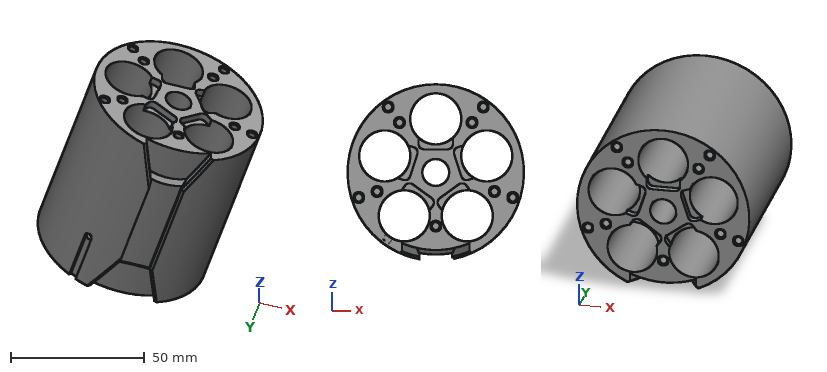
import cadquery as cq
import math

LENGTH = 72.0
BODY_RADIUS = 33.0
FRONT_Y = -LENGTH / 2
BACK_Y = LENGTH / 2

BORE_COUNT = 5
BORE_STEP = 360 / BORE_COUNT
BORE_CIRCLE_RADIUS = 20.0
BORE_RADIUS = 9.5
CENTER_BORE_RADIUS = 5.0

POCKET_WIDTH = 12.8
POCKET_FLAT_RADIUS = 8.65
POCKET_CORNER_RADIUS = 2.0
POCKET_DEPTH = 3.0

INNER_SCREW_RADIUS = 23.05
OUTER_SCREW_RADIUS = 30.25
LOWEST_SCREW_RADIUS = 20.0
SCREW_DIAMETER = 3.0
SCREW_MOUTH_DIAMETER = 4.0
SCREW_DEPTH = 7.2
COUNTERSINK_ANGLE = 90

NOTCH_ANGLE = 270
NOTCH_END_WIDTH = 25.2
NOTCH_WAIST_WIDTH = 11.95
NOTCH_TAPER_LENGTH = 15.85
NOTCH_FLOOR_AXIS_Z = 4.0
NOTCH_RIDGE_HEIGHT = 1.7
NOTCH_RAMP_LENGTH = 1.9
NOTCH_CHAMFER = 1.0

GROOVE_ANGLE = 90 + 2 * BORE_STEP
GROOVE_WIDTH = 3.0
GROOVE_DEPTH = 1.2
GROOVE_LENGTH = 20.0


def polar(radius, degrees):
    """Point in the XZ plane at an angle measured from +X towards +Z."""
    angle = math.radians(degrees)
    return radius * math.cos(angle), radius * math.sin(angle)


def rod(radius, y_start, y_end):
    """Solid cylinder along the Y axis."""
    start = cq.Vector(0, y_start, 0)
    direction = cq.Vector(0, 1, 0)
    return cq.Workplane(obj=cq.Solid.makeCylinder(radius, y_end - y_start, start, direction))


def turn(shape, degrees):
    """Rotate about the Y axis, from +X towards +Z."""
    return shape.rotate((0, 0, 0), (0, 1, 0), -degrees)


def front_face():
    """Sketch plane on the front face, with local x and y along X and Z, and its normal pointing out."""
    return cq.Workplane(cq.Plane(origin=(0, FRONT_Y, 0), xDir=(1, 0, 0), normal=(0, -1, 0)))


def notch_cutter():
    """Hourglass-shaped prism below a floor that rises to a ridge at the waist."""
    end_x = NOTCH_END_WIDTH / 2
    waist_x = NOTCH_WAIST_WIDTH / 2
    waist_y = BACK_Y - NOTCH_TAPER_LENGTH
    prism = (
        cq.Workplane("XY")
        .polyline([
            (-end_x, FRONT_Y), (end_x, FRONT_Y), (waist_x, -waist_y), (waist_x, waist_y),
            (end_x, BACK_Y), (-end_x, BACK_Y), (-waist_x, waist_y), (-waist_x, -waist_y),
        ])
        .close()
        .extrude(-2 * BODY_RADIUS)
    )
    floor = rod(BODY_RADIUS, FRONT_Y, BACK_Y)
    ridge_radius = BODY_RADIUS + NOTCH_RIDGE_HEIGHT
    ramp_run = ridge_radius * NOTCH_RAMP_LENGTH / NOTCH_RIDGE_HEIGHT
    ramps = (
        cq.Workplane("YZ")
        .polyline([
            (-waist_y - ramp_run, 0), (-waist_y, -ridge_radius),
            (waist_y, -ridge_radius), (waist_y + ramp_run, 0),
        ])
        .close()
        .extrude(end_x, both=True)
    )
    ridge = rod(ridge_radius, FRONT_Y, BACK_Y).intersect(ramps)
    core = floor.union(ridge).translate((0, 0, NOTCH_FLOOR_AXIS_Z))
    return prism.cut(core)


def pocket_cutter():
    """Front pocket under the top bore, rounded at its two inner corners."""
    height = BORE_CIRCLE_RADIUS - POCKET_FLAT_RADIUS
    return (
        front_face()
        .center(0, POCKET_FLAT_RADIUS + height / 2)
        .rect(POCKET_WIDTH, height)
        .extrude(-POCKET_DEPTH)
        .edges("|Y and <Z")
        .fillet(POCKET_CORNER_RADIUS)
    )


def groove_cutter():
    """Round-ended skin groove with a radial hole at its closed end, built along +X."""
    end_y = BACK_Y - GROOVE_LENGTH
    floor_radius = BODY_RADIUS - GROOVE_DEPTH
    channel = (
        cq.Workplane("YZ", origin=(floor_radius, 0, 0))
        .center(end_y + GROOVE_LENGTH / 2, 0)
        .rect(GROOVE_LENGTH, GROOVE_WIDTH)
        .extrude(2 * GROOVE_DEPTH)
    )
    hole = (
        cq.Workplane("YZ", origin=(BORE_CIRCLE_RADIUS, 0, 0))
        .center(end_y, 0)
        .circle(GROOVE_WIDTH / 2)
        .extrude(BODY_RADIUS + GROOVE_DEPTH - BORE_CIRCLE_RADIUS)
    )
    return turn(channel.union(hole), GROOVE_ANGLE)


body = rod(BODY_RADIUS, FRONT_Y, BACK_Y).cut(notch_cutter())

ridge_bottom_z = NOTCH_FLOOR_AXIS_Z - BODY_RADIUS - NOTCH_RIDGE_HEIGHT
edges_below_ridge = cq.selectors.BoxSelector(
    (-NOTCH_END_WIDTH / 2, FRONT_Y, -BODY_RADIUS),
    (NOTCH_END_WIDTH / 2, BACK_Y, ridge_bottom_z),
)
sharp_edge = cq.selectors.BoxSelector(
    (-NOTCH_WAIST_WIDTH, FRONT_Y + NOTCH_TAPER_LENGTH, -BODY_RADIUS),
    (0, BACK_Y - NOTCH_TAPER_LENGTH, ridge_bottom_z),
)
vertical_edges = cq.selectors.ParallelDirSelector(cq.Vector(0, 0, 1))
body = body.edges(edges_below_ridge - vertical_edges - sharp_edge).chamfer(NOTCH_CHAMFER)

body = body.cut(rod(CENTER_BORE_RADIUS, FRONT_Y, BACK_Y))
top_bore = rod(BORE_RADIUS, FRONT_Y, BACK_Y).translate((0, 0, BORE_CIRCLE_RADIUS))
bore_and_pocket = top_bore.union(pocket_cutter())
for index in range(BORE_COUNT):
    body = body.cut(turn(bore_and_pocket, index * BORE_STEP))

screw_points = [polar(LOWEST_SCREW_RADIUS, NOTCH_ANGLE)]
for index in range(1, BORE_COUNT):
    screw_angle = NOTCH_ANGLE + index * BORE_STEP
    screw_points.append(polar(INNER_SCREW_RADIUS, screw_angle))
    screw_points.append(polar(OUTER_SCREW_RADIUS, screw_angle))
body = (
    front_face()
    .add(body)
    .pushPoints(screw_points)
    .cskHole(SCREW_DIAMETER, SCREW_MOUTH_DIAMETER, COUNTERSINK_ANGLE, SCREW_DEPTH)
)

result = body.cut(groove_cutter())